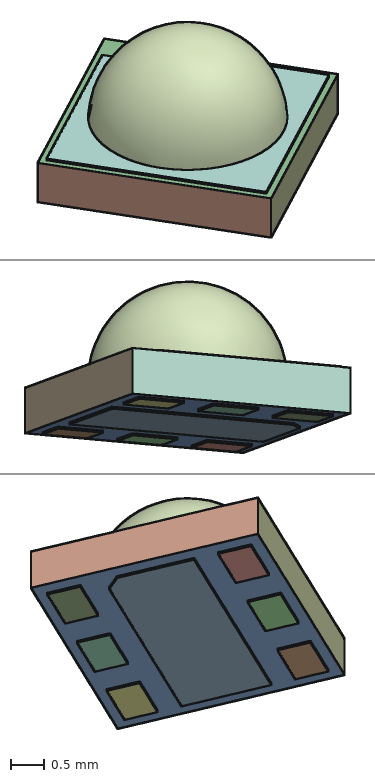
import cadquery as cq

base_side = 3.65
base_height = 0.697

layer_height = 0.03
plate_margin = 0.11
notch_side = 0.39

center_pad_width = 1.445
pad_length = 3.245
center_pad_chamfer = 0.208
side_pad_width = 0.533
side_pad_length = 0.752
side_pad_outer_x = 1.64
side_pads_per_row = 3

total_height = 2.17
lens_radius = 1.5

plate_side = base_side - 2 * plate_margin
base_bottom = layer_height
base_top = base_bottom + base_height
plate_top = base_top + layer_height
side_pad_x = side_pad_outer_x - side_pad_width / 2
side_pad_pitch = (pad_length - side_pad_length) / (side_pads_per_row - 1)


def block(width, length, height, bottom):
    """Block centered on the Z axis, resting at the given bottom height."""
    return (
        cq.Workplane("XY")
        .workplane(offset=bottom)
        .rect(width, length)
        .extrude(height)
    )


def make_top_plate():
    """Thin square plate with a square orientation notch at its -X, +Y corner."""
    plate = block(plate_side, plate_side, layer_height, base_top)
    notch_center = (plate_side - notch_side) / 2
    notch = block(notch_side, notch_side, layer_height, base_top)
    return plate.cut(notch.translate((-notch_center, notch_center, 0)))


def make_center_pad():
    """Long pad with its -X, -Y corner chamfered."""
    pad = block(center_pad_width, pad_length, layer_height, 0)
    return pad.edges("|Z").edges("<X").edges("<Y").chamfer(center_pad_chamfer)


def make_base():
    """Base with its top plate, center pad and a row of pads along each side."""
    base = block(base_side, base_side, base_height, base_bottom)
    base = base.union(make_top_plate()).union(make_center_pad())
    for x in (-side_pad_x, side_pad_x):
        for row in range(side_pads_per_row):
            y = (row - (side_pads_per_row - 1) / 2) * side_pad_pitch
            pad = block(side_pad_width, side_pad_length, layer_height, 0)
            base = base.union(pad.translate((x, y, 0)))
    return base


def make_lens():
    """Sphere cut flat where it rests on the top plate."""
    sphere = cq.Workplane("XZ").sphere(lens_radius)
    sphere = sphere.translate((0, 0, total_height - lens_radius))
    space_above_plate = block(base_side, base_side, total_height, plate_top)
    return sphere.intersect(space_above_plate)


base = make_base()
lens = make_lens()

result = cq.Compound.makeCompound([base.solids().val(), lens.solids().val()])